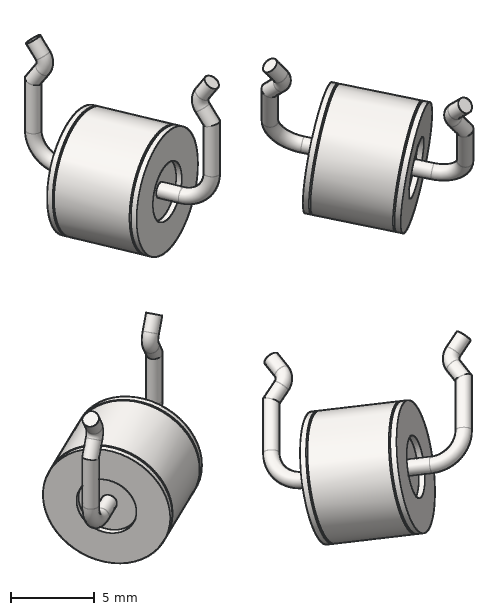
import cadquery as cq
import math

overall_length = 12.97
drum_diameter = 8.0
body_length = 6.0
washer_thickness = 0.38
washer_gap = 0.1
washer_bore = 3.76
wire_diameter = 1.0
lead_bend_radius = 2.0
kink_height = 5.35
tip_height = 8.09
tip_angle = 35.0
hook_bend_radius = 0.8

drum_length = body_length - 2 * (washer_thickness + washer_gap)
lead_x = (overall_length - wire_diameter) / 2
hook_corner_height = (kink_height + tip_height) / 2
tilt = math.radians(tip_angle)
hook_corner_x = lead_x - (hook_corner_height - kink_height) * math.tan(tilt)


def make_cylinder(start_x, length, diameter):
    """Solid cylinder along +X, starting at start_x."""
    return cq.Workplane("YZ", origin=(start_x, 0, 0)).circle(diameter / 2).extrude(length)


def make_washer(start_x):
    """End washer with a bore that clears the lead."""
    disc = make_cylinder(start_x, washer_thickness, drum_diameter)
    return disc.cut(make_cylinder(start_x, washer_thickness, washer_bore))


def make_lead():
    """Lead on the +X side: out of the drum, up, and hooked inward at the top."""
    bend_start_x = lead_x - lead_bend_radius
    bend_reach = lead_bend_radius * math.sin(math.pi / 4)
    bend_middle = (bend_start_x + bend_reach, lead_bend_radius - bend_reach)

    tangent_length = hook_bend_radius * math.tan(tilt)
    tangent_x = hook_corner_x + tangent_length * math.sin(tilt)
    tangent_rise = tangent_length * math.cos(tilt)
    apex_x = hook_corner_x + hook_bend_radius * (1 / math.cos(tilt) - 1)

    path = (
        cq.Workplane("XZ")
        .moveTo(drum_length / 2, 0)
        .lineTo(bend_start_x, 0)
        .threePointArc(bend_middle, (lead_x, lead_bend_radius))
        .lineTo(lead_x, kink_height)
        .lineTo(tangent_x, hook_corner_height - tangent_rise)
        .threePointArc((apex_x, hook_corner_height), (tangent_x, hook_corner_height + tangent_rise))
        .lineTo(lead_x, tip_height)
    )
    section = cq.Workplane("YZ", origin=(drum_length / 2, 0, 0)).circle(wire_diameter / 2)
    return section.sweep(path, transition="right")


def make_drum_with_leads():
    """Drum and its two mirrored leads as one body."""
    drum = make_cylinder(-drum_length / 2, drum_length, drum_diameter)
    lead = make_lead()
    return drum.union(lead).union(lead.mirror("YZ"))


drum_with_leads = make_drum_with_leads()
washer_starts = (-body_length / 2, body_length / 2 - washer_thickness)
washers = [make_washer(start_x).val() for start_x in washer_starts]

result = cq.Compound.makeCompound([drum_with_leads.val(), *washers])